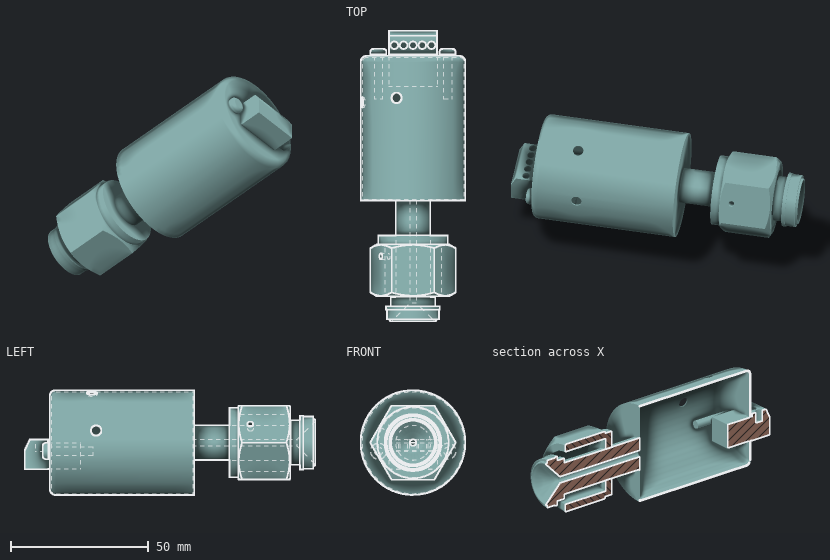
import cadquery as cq
import math


HOUSING_DIAMETER = 38.1
HOUSING_RADIUS = HOUSING_DIAMETER / 2
HOUSING_LENGTH = 52.6
HOUSING_WALL = 0.5
HOUSING_EDGE_ROUND = 2.2

PORT_RADIUS = 1.9
PORTS = [(35.7, 13.5), (37.3, 71.5)]

BLOCK_WIDTH = 17.5
BLOCK_TOP = 1.2
BLOCK_BOTTOM = -9.7
BLOCK_BACK = 61.7
BLOCK_FRONT = 53.1
BLOCK_BEVEL_LENGTH = 1.9
BLOCK_BEVEL_DROP = 3.9
BASE_TOP = 0
BASE_BOTTOM = -9.5
BASE_INNER_REACH = 10.6
WIRE_HOLE_COUNT = 5
WIRE_HOLE_RADIUS = 1.4
WIRE_HOLE_PITCH = 3.4
WIRE_HOLE_Y = 56.4
WIRE_HOLE_DEPTH = 4.2

SCREW_SPACING = 25.1
SCREW_Z = -3.1
WASHER_RADIUS = 2.9
WASHER_THICKNESS = 0.5
SCREW_HEAD_RADIUS = 3.0
SCREW_HEAD_HEIGHT = 2.0
SCREW_HEAD_ROUND = 1.2
SHANK_RADIUS = 1.5
SHANK_END = 37.0

TUBE_RADIUS = 6.3
NECK_RADIUS = 8.1
FLANGE_RADIUS = 9.8
NECK_BACK = -35.0
FLANGE_BACK = -38.4
FLANGE_FRONT = -39.6
NOZZLE_RADIUS = 9.5
NOZZLE_SHOULDER = -43.2
LIP_BASE_RADIUS = 8.7
LIP_OUTER_RADIUS = 8.2
LIP_INNER_RADIUS = 7.9
CONE_RADIUS = 7.6
CONE_CHAMFER = 0.4
CONE_DEPTH = 6.3
BORE_RADIUS = 1.2
NOZZLE_END = BLOCK_BACK - 105.7

NUT_FRONT = -34.9
NUT_BACK = -15.8
NUT_FLATS = 26.9
NUT_FACE_RADIUS = 13.0
NUT_CHAMFER_ANGLE = 30
COLLAR_RADIUS = 12.7
COLLAR_BACK = -12.7
NUT_BORE_RADIUS = 10.4
WEEP_RADIUS = 1.1
WEEP_Y = -20.3
WEEP_ANGLE = 30


def revolve_profile(points):
    """Revolve a closed outline of (radius, Y) points about the Y axis."""
    return cq.Workplane("XY").polyline(points).close().revolve(360, (0, 0, 0), (0, 1, 0))


def cylinder(radius, start, end, x=0, z=0):
    """Cylinder parallel to Y between two Y positions."""
    return cq.Workplane("XZ", origin=(x, start, z)).circle(radius).extrude(start - end)


def radial_cutter(y, angle, radius, length):
    """Cylinder from the Y axis outward, at an angle up from -X."""
    a = math.radians(angle)
    direction = cq.Vector(-math.cos(a), 0, math.sin(a))
    return cq.Workplane(cq.Solid.makeCylinder(radius, length, cq.Vector(0, y, 0), direction))


def make_shell():
    cavity_back = HOUSING_LENGTH - HOUSING_WALL
    shell = cylinder(HOUSING_RADIUS, 0, HOUSING_LENGTH).faces(">Y").edges().fillet(HOUSING_EDGE_ROUND)
    cavity = cylinder(HOUSING_RADIUS - HOUSING_WALL, HOUSING_WALL, cavity_back)
    cavity = cavity.faces(">Y").edges().fillet(HOUSING_EDGE_ROUND - HOUSING_WALL)
    shell = shell.cut(cavity)
    for y, angle in PORTS:
        shell = shell.cut(radial_cutter(y, angle, PORT_RADIUS, 2 * HOUSING_RADIUS))
    return shell


def make_terminal_block():
    block = (
        cq.Workplane("YZ", origin=(-BLOCK_WIDTH / 2, 0, 0))
        .moveTo(BLOCK_FRONT, BLOCK_BOTTOM)
        .lineTo(BLOCK_BACK, BLOCK_BOTTOM)
        .lineTo(BLOCK_BACK, BLOCK_TOP - BLOCK_BEVEL_DROP)
        .lineTo(BLOCK_BACK - BLOCK_BEVEL_LENGTH, BLOCK_TOP)
        .lineTo(BLOCK_FRONT, BLOCK_TOP)
        .close()
        .extrude(BLOCK_WIDTH)
    )
    wire_holes = (
        cq.Workplane("XY", origin=(0, WIRE_HOLE_Y, BLOCK_TOP))
        .rarray(WIRE_HOLE_PITCH, 1.1, WIRE_HOLE_COUNT, 1)
        .circle(WIRE_HOLE_RADIUS)
        .extrude(-WIRE_HOLE_DEPTH)
    )
    base_start = HOUSING_LENGTH - HOUSING_WALL - BASE_INNER_REACH
    base = (
        cq.Workplane("XZ", origin=(0, base_start, (BASE_TOP + BASE_BOTTOM) / 2))
        .rect(BLOCK_WIDTH, BASE_TOP - BASE_BOTTOM)
        .extrude(base_start - BLOCK_FRONT)
    )
    return block.cut(wire_holes).union(base)


def make_screw(x):
    """Washer, head and the shank that runs into the cavity."""
    washer_back = HOUSING_LENGTH + WASHER_THICKNESS
    head_back = washer_back + SCREW_HEAD_HEIGHT
    washer = cylinder(WASHER_RADIUS, HOUSING_LENGTH, washer_back, x, SCREW_Z)
    head = cylinder(SCREW_HEAD_RADIUS, washer_back, head_back, x, SCREW_Z)
    shank = cylinder(SHANK_RADIUS, SHANK_END, HOUSING_LENGTH, x, SCREW_Z)
    return washer.union(shank).union(head.faces(">Y").edges().fillet(SCREW_HEAD_ROUND))


def make_stem():
    cone_start = NOZZLE_END + CONE_CHAMFER
    return revolve_profile([
        (BORE_RADIUS, HOUSING_WALL),
        (TUBE_RADIUS, HOUSING_WALL),
        (TUBE_RADIUS, NECK_BACK),
        (NECK_RADIUS, NECK_BACK),
        (NECK_RADIUS, FLANGE_BACK),
        (FLANGE_RADIUS, FLANGE_BACK),
        (FLANGE_RADIUS, FLANGE_FRONT),
        (NOZZLE_RADIUS, FLANGE_FRONT),
        (NOZZLE_RADIUS, NOZZLE_SHOULDER),
        (LIP_BASE_RADIUS, NOZZLE_SHOULDER),
        (LIP_OUTER_RADIUS, NOZZLE_END),
        (LIP_INNER_RADIUS, NOZZLE_END),
        (CONE_RADIUS, cone_start),
        (BORE_RADIUS, cone_start + CONE_DEPTH),
    ])


def make_transmitter():
    body = make_shell().union(make_stem()).cut(cylinder(BORE_RADIUS, 0, HOUSING_WALL))
    body = body.union(make_terminal_block())
    for side in (-1, 1):
        body = body.union(make_screw(side * SCREW_SPACING / 2))
    return body


def make_nut():
    corner_radius = NUT_FLATS / 2 / math.cos(math.pi / 6)
    chamfer = (corner_radius - NUT_FACE_RADIUS) * math.tan(math.radians(NUT_CHAMFER_ANGLE))
    hexagon = (
        cq.Workplane("XZ", origin=(0, NUT_BACK, 0))
        .polygon(6, 2 * corner_radius)
        .extrude(NUT_BACK - NUT_FRONT)
    )
    turned = revolve_profile([
        (0, NUT_FRONT),
        (NUT_FACE_RADIUS, NUT_FRONT),
        (corner_radius, NUT_FRONT + chamfer),
        (corner_radius, NUT_BACK - chamfer),
        (NUT_FACE_RADIUS, NUT_BACK),
        (0, NUT_BACK),
    ])
    nut = hexagon.intersect(turned).union(cylinder(COLLAR_RADIUS, NUT_BACK, COLLAR_BACK))
    nut = nut.cut(cylinder(TUBE_RADIUS, NUT_BACK, COLLAR_BACK))
    nut = nut.cut(cylinder(NUT_BORE_RADIUS, NUT_FRONT, NUT_BACK))
    return nut.cut(radial_cutter(WEEP_Y, WEEP_ANGLE, WEEP_RADIUS, NUT_FLATS))


transmitter = make_transmitter()
nut = make_nut()

result = cq.Compound.makeCompound([transmitter.val(), nut.val()])